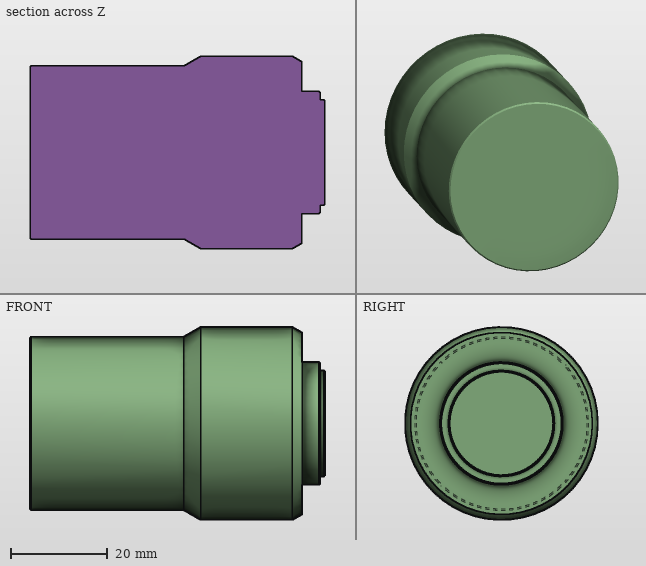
import cadquery as cq
import math

total_length = 61.2
barrel_diameter = 36.0
collar_diameter = 40.0
spigot_diameter = 25.5
lip_diameter = 22.0

lip_length = 1.0
spigot_length = 3.8
collar_length = 21.0
rear_bevel_length = 2.0
bevel_angle = math.radians(30)
edge_chamfer = 0.3

spigot_end = total_length - lip_length
collar_end = spigot_end - spigot_length
collar_start = collar_end - collar_length
front_bevel_length = (collar_diameter - barrel_diameter) / 2 / math.tan(bevel_angle)
barrel_end = collar_start - front_bevel_length


def cylinder(diameter, start, end):
    """Cylinder along X between two stations."""
    return cq.Workplane("YZ").workplane(offset=start).circle(diameter / 2).extrude(end - start)


def make_barrel():
    """Front barrel with a broken front edge."""
    return cylinder(barrel_diameter, 0, barrel_end).faces("<X").edges().chamfer(edge_chamfer)


def make_collar():
    """Wider collar with a conical shoulder in front and a bevel behind."""
    barrel_radius = barrel_diameter / 2
    collar_radius = collar_diameter / 2
    bevel_start = collar_end - rear_bevel_length
    bevel_radius = collar_radius - rear_bevel_length * math.tan(bevel_angle)
    profile = (
        cq.Workplane("XY")
        .moveTo(barrel_end, 0)
        .lineTo(barrel_end, barrel_radius)
        .lineTo(collar_start, collar_radius)
        .lineTo(bevel_start, collar_radius)
        .lineTo(collar_end, bevel_radius)
        .lineTo(collar_end, 0)
        .close()
    )
    return profile.revolve(360, (0, 0, 0), (1, 0, 0))


def make_rear_step(diameter, start, end):
    """Rear cylinder with a broken rear edge."""
    return cylinder(diameter, start, end).faces(">X").edges().chamfer(edge_chamfer)


spigot = make_rear_step(spigot_diameter, collar_end, spigot_end)
lip = make_rear_step(lip_diameter, spigot_end, total_length)

result = make_barrel().union(make_collar()).union(spigot).union(lip)